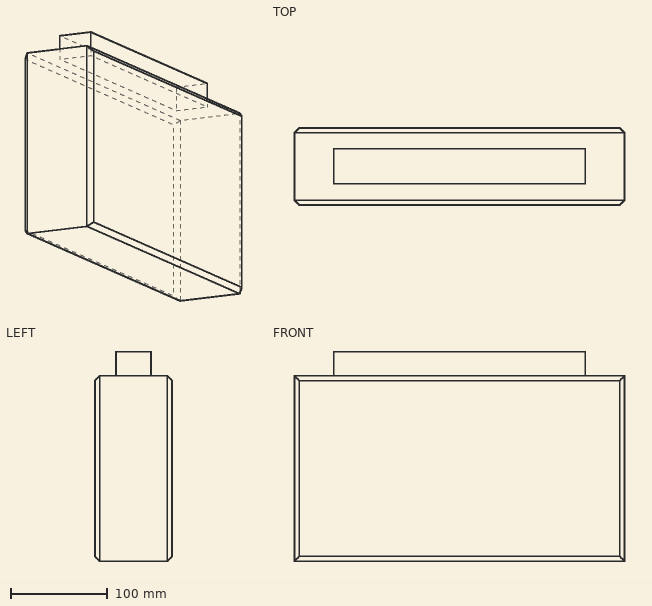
import cadquery as cq

length = 342.0
depth = 80.0
total_height = 217.0

bar_length = 260.5
bar_depth = 36.3
bar_height = 25.0

body_height = total_height - bar_height
edge_chamfer = 5.0


def make_body():
    """Box resting on Z = 0, chamfered around its front and back faces."""
    box = cq.Workplane("XY").box(length, depth, body_height, centered=(True, True, False))
    return box.faces("<Y or >Y").edges().chamfer(edge_chamfer)


def make_bar():
    """Plain bar centred on the top face of the body."""
    base = cq.Workplane("XY").workplane(offset=body_height)
    return base.box(bar_length, bar_depth, bar_height, centered=(True, True, False))


result = make_body().union(make_bar())